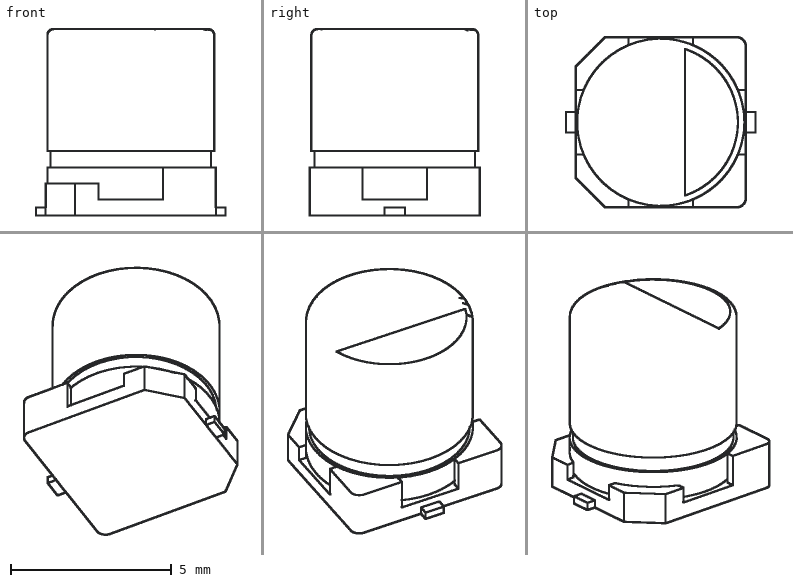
import cadquery as cq


base_width = 5.3
floor_height = 0.5
low_corner_height = 1.0
high_corner_height = 1.5
corner_chamfer = 0.92
corner_radius = 0.3
slot_width = 2.0

can_radius = 2.6
can_top = 5.8
can_edge_radius = 0.2
groove_radius = 2.5
groove_bottom = high_corner_height
groove_top = 2.0

mark_edge_x = 0.75
mark_radius = can_radius - can_edge_radius
mark_depth = 0.1

lead_span = 5.9
lead_width = 0.65
lead_height = 0.25

half_base = base_width / 2


def make_base():
    """Square base with four corner posts around a round seat for the can."""
    base = cq.Workplane("XY").rect(base_width, base_width).extrude(high_corner_height)
    base = base.edges("|Z and <X").chamfer(corner_chamfer)
    base = base.edges("|Z and >X").fillet(corner_radius)

    low_corner_cut = (
        cq.Workplane("XY", origin=(-half_base / 2, 0, low_corner_height))
        .rect(half_base, base_width)
        .extrude(high_corner_height - low_corner_height)
    )
    base = base.cut(low_corner_cut)

    floor = cq.Workplane("XY", origin=(0, 0, floor_height))
    post_height = high_corner_height - floor_height
    slot_along_x = floor.rect(base_width, slot_width).extrude(post_height)
    slot_along_y = floor.rect(slot_width, base_width).extrude(post_height)
    seat = floor.circle(can_radius).extrude(post_height)
    return base.cut(slot_along_x).cut(slot_along_y).cut(seat)


def make_mark():
    """Thin segment of a disc on the +X side, flush with the top of the can."""
    mark_plane = cq.Workplane("XY", origin=(0, 0, can_top - mark_depth))
    disc = mark_plane.circle(mark_radius).extrude(mark_depth)
    beyond_edge = (
        mark_plane.center(mark_edge_x + mark_radius / 2, 0)
        .rect(mark_radius, 2 * mark_radius)
        .extrude(mark_depth)
    )
    return disc.intersect(beyond_edge)


def make_can(mark):
    """Round can with rounded ends, a crimp groove and a recess for the mark."""
    can = (
        cq.Workplane("XY", origin=(0, 0, floor_height))
        .circle(can_radius)
        .extrude(can_top - floor_height)
        .edges("<Z or >Z")
        .fillet(can_edge_radius)
    )
    groove = (
        cq.Workplane("XY", origin=(0, 0, groove_bottom))
        .circle(can_radius)
        .circle(groove_radius)
        .extrude(groove_top - groove_bottom)
    )
    return can.cut(groove).cut(mark)


def make_lead(side):
    """Flat lead standing out from the base; side is -1 for -X and +1 for +X."""
    lead_length = lead_span / 2 - half_base
    return (
        cq.Workplane("XY")
        .center(side * (half_base + lead_length / 2), 0)
        .rect(lead_length, lead_width)
        .extrude(lead_height)
    )


base = make_base()
mark = make_mark()
can = make_can(mark)
leads = [make_lead(side) for side in (-1, 1)]

result = cq.Compound.makeCompound(
    [base.val(), can.val(), mark.val(), *[lead.val() for lead in leads]]
)